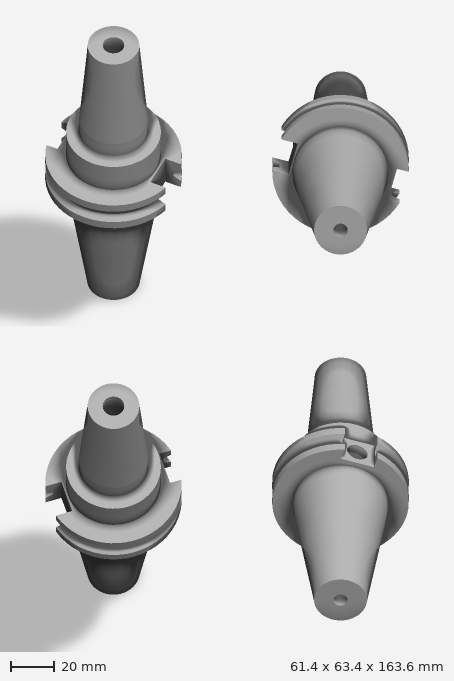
import cadquery as cq
import math


gauge_diameter = 44.45
shank_length = 68.4
shank_taper = 7 / 24
collar_height = 3.2

flange_diameter = 63.43
flange_top = 19.1
groove_floor_diameter = 56.4
groove_floor_width = 3.9
groove_mouth_width = 7.3
groove_center = (collar_height + flange_top) / 2

slot_width = 16.1
slot_floor_left = 25.0
slot_floor_right = 22.8

pocket_diameter = 10.0
pocket_depth = 4.6

boss_diameter = 44.0
boss_top = 35.0
neck_diameter = 32.0
neck_fillet = 1.5
nose_top = 95.15
nose_diameter = 24.0
nose_half_angle = math.radians(4.5)
nose_base = nose_top - (neck_diameter - nose_diameter) / 2 / math.tan(nose_half_angle)

tool_bore_diameter = 10.0
tool_bore_depth = 42.0
through_bore_diameter = 6.6


def make_body():
    """Revolve the outer profile, drawn as (radius, height), about the Z axis."""
    gauge_radius = gauge_diameter / 2
    shank_end_radius = gauge_radius - shank_length * shank_taper / 2
    flange_radius = flange_diameter / 2
    groove_floor_radius = groove_floor_diameter / 2
    boss_radius = boss_diameter / 2
    neck_radius = neck_diameter / 2
    fillet_center = (neck_radius + neck_fillet, boss_top + neck_fillet)
    fillet_reach = neck_fillet * math.sqrt(0.5)
    fillet_middle = (fillet_center[0] - fillet_reach, fillet_center[1] - fillet_reach)

    profile = (
        cq.Workplane("XZ")
        .moveTo(0, -shank_length)
        .lineTo(shank_end_radius, -shank_length)
        .lineTo(gauge_radius, 0)
        .lineTo(gauge_radius, collar_height)
        .lineTo(flange_radius, collar_height)
        .lineTo(flange_radius, groove_center - groove_mouth_width / 2)
        .lineTo(groove_floor_radius, groove_center - groove_floor_width / 2)
        .lineTo(groove_floor_radius, groove_center + groove_floor_width / 2)
        .lineTo(flange_radius, groove_center + groove_mouth_width / 2)
        .lineTo(flange_radius, flange_top)
        .lineTo(boss_radius, flange_top)
        .lineTo(boss_radius, boss_top)
        .lineTo(fillet_center[0], boss_top)
        .threePointArc(fillet_middle, (neck_radius, fillet_center[1]))
        .lineTo(neck_radius, nose_base)
        .lineTo(nose_diameter / 2, nose_top)
        .lineTo(0, nose_top)
        .close()
    )
    return profile.revolve(360, (0, 0, 0), (0, 1, 0))


def make_slot(floor_distance, side):
    """Block that cuts a drive slot through the flange; side is +1 for +X, -1 for -X."""
    slot_length = flange_diameter / 2
    slot_center_x = side * (floor_distance + slot_length / 2)
    return (
        cq.Workplane("XY", origin=(slot_center_x, 0, groove_center))
        .box(slot_length, slot_width, flange_top - collar_height)
    )


def make_pocket():
    """Flat-bottomed round pocket running inward from the -X slot floor."""
    return (
        cq.Workplane("YZ", origin=(-slot_floor_left, 0, groove_center))
        .circle(pocket_diameter / 2)
        .extrude(pocket_depth)
    )


def make_bores():
    """Through bore along the axis, widened at the nose to take the tool shank."""
    through_bore = (
        cq.Workplane("XY", origin=(0, 0, -shank_length))
        .circle(through_bore_diameter / 2)
        .extrude(shank_length + nose_top)
    )
    tool_bore = (
        cq.Workplane("XY", origin=(0, 0, nose_top))
        .circle(tool_bore_diameter / 2)
        .extrude(-tool_bore_depth)
    )
    return through_bore.union(tool_bore)


result = (
    make_body()
    .cut(make_slot(slot_floor_left, -1))
    .cut(make_slot(slot_floor_right, 1))
    .cut(make_pocket())
    .cut(make_bores())
)